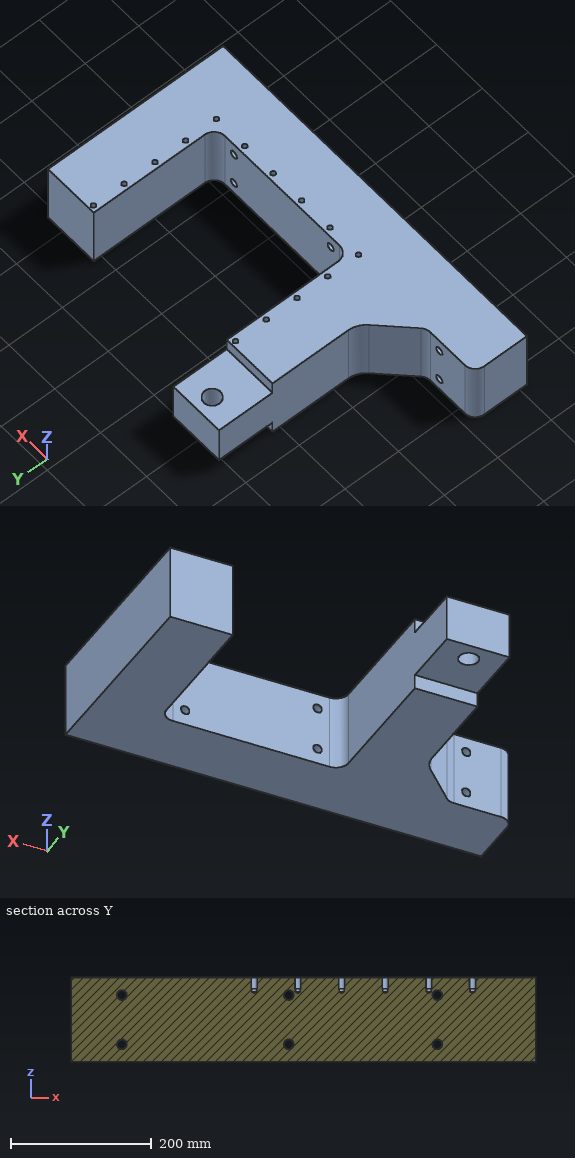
import cadquery as cq
import math

length = 663.0
height = 120.0
base_depth = 100.0
arm_reach = 328.0

left_arm_x = 173.0
left_arm_width = 100.0
opening_width = 290.0
opening_x = left_arm_x + left_arm_width
right_arm_x = opening_x + opening_width

gusset_size = 70.0
gusset_top_radius = 40.0
gusset_foot_radius = 20.0
corner_radius = 20.0

tongue_length = 100.0
tongue_height = 74.0
pin_hole_diameter = 30.0
pin_hole_end_distance = 30.0

mounting_hole_diameter = 13.5
mounting_hole_xs = (75.0, 312.0, 523.0)
mounting_hole_spacing_z = 70.0

edge_hole_diameter = 8.0
edge_hole_depth = 16.0
pilot_diameter = 6.6
pilot_depth = 20.0
drill_point_angle = 118.0
edge_hole_inset = 10.0
edge_hole_end_distance = 8.0
row_intervals = 5
column_intervals = 4


def make_body():
    """Base with two arms, extruded along Z, with its corners rounded."""
    gusset_foot = (left_arm_x - gusset_size, base_depth)
    gusset_top = (left_arm_x, base_depth + gusset_size)
    body = (
        cq.Workplane("XY")
        .moveTo(0, 0)
        .lineTo(length, 0)
        .lineTo(length, arm_reach)
        .lineTo(right_arm_x, arm_reach)
        .lineTo(right_arm_x, base_depth)
        .lineTo(opening_x, base_depth)
        .lineTo(opening_x, arm_reach)
        .lineTo(left_arm_x, arm_reach)
        .lineTo(*gusset_top)
        .lineTo(*gusset_foot)
        .lineTo(0, base_depth)
        .close()
        .extrude(height)
    )
    rounded_corners = (
        ((0, base_depth), corner_radius),
        ((opening_x, base_depth), corner_radius),
        ((right_arm_x, base_depth), corner_radius),
        (gusset_top, gusset_top_radius),
        (gusset_foot, gusset_foot_radius),
    )
    for (x, y), radius in rounded_corners:
        nearest_edge = cq.selectors.NearestToPointSelector((x, y, height / 2))
        body = body.edges("|Z").edges(nearest_edge).fillet(radius)
    return body


def make_tongue():
    """Thinner block at mid height beyond the left arm, with a vertical pin hole."""
    tongue_z = (height - tongue_height) / 2
    tongue = cq.Workplane("XY").box(left_arm_width, tongue_length, tongue_height, centered=False)
    pin_hole = (
        cq.Workplane("XY")
        .center(left_arm_width / 2, tongue_length - pin_hole_end_distance)
        .circle(pin_hole_diameter / 2)
        .extrude(tongue_height)
    )
    return tongue.cut(pin_hole).translate((left_arm_x, arm_reach, tongue_z))


def make_mounting_holes():
    """Two levels of cylinders through the full depth of the base."""
    levels = (
        (height - mounting_hole_spacing_z) / 2,
        (height + mounting_hole_spacing_z) / 2,
    )
    return (
        cq.Workplane("XZ")
        .pushPoints([(x, z) for x in mounting_hole_xs for z in levels])
        .circle(mounting_hole_diameter / 2)
        .extrude(-base_depth)
    )


def make_edge_hole():
    """One stepped hole with a conical drill point, opening upward at Z = 0."""
    hole_radius = edge_hole_diameter / 2
    pilot_radius = pilot_diameter / 2
    point_length = pilot_radius / math.tan(math.radians(drill_point_angle / 2))
    return (
        cq.Workplane("XZ")
        .moveTo(0, 0)
        .lineTo(hole_radius, 0)
        .lineTo(hole_radius, -edge_hole_depth)
        .lineTo(pilot_radius, -edge_hole_depth)
        .lineTo(pilot_radius, -pilot_depth)
        .lineTo(0, -pilot_depth - point_length)
        .close()
        .revolve(360, (0, 0, 0), (0, 1, 0))
    )


def make_edge_holes():
    """Stepped holes down from the top face in a U around the opening."""
    left_x = opening_x - edge_hole_inset
    right_x = right_arm_x + edge_hole_inset
    row_y = base_depth - edge_hole_inset
    row_pitch = (right_x - left_x) / row_intervals
    column_pitch = (arm_reach - edge_hole_end_distance - row_y) / column_intervals

    points = [(left_x + i * row_pitch, row_y) for i in range(row_intervals + 1)]
    for i in range(1, column_intervals + 1):
        y = row_y + i * column_pitch
        points += [(left_x, y), (right_x, y)]

    hole = make_edge_hole().val()
    return (
        cq.Workplane("XY", origin=(0, 0, height))
        .pushPoints(points)
        .eachpoint(lambda location: hole.moved(location))
    )


result = make_body().union(make_tongue()).cut(make_mounting_holes()).cut(make_edge_holes())